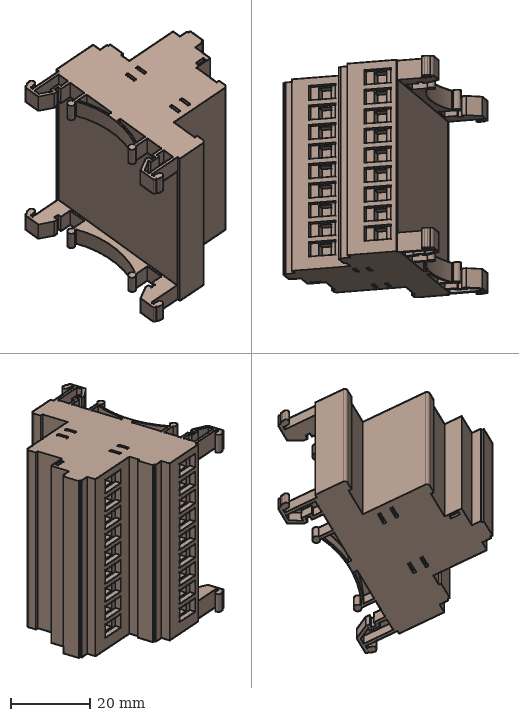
import cadquery as cq
import math

LENGTH = 49.9
DEPTH = 44.0
TOP_Y = DEPTH / 2
FOOT_Y = -TOP_Y
HALF_WIDTH = 22.4
TIER_STEP_X = 10.55
TIER_STEP_Y = 17.8
UPPER_HALF_WIDTH = HALF_WIDTH - TIER_STEP_X

FLANGE_Y = -11.95
PANEL_Y = -12.15
PANEL_HALF_WIDTH = 21.55
LEFT_LEDGE_Y = 1.0
RIB_LEFT_X = -19.9
RIB_STEP_X = 0.45
RIB_CREST_LEFT_X = RIB_LEFT_X + RIB_STEP_X
RIB_CREST_RIGHT_X = -14.85
RIB_SHOULDER_Y = 3.5
RIB_CREST_Y = TOP_Y - TIER_STEP_Y
UPPER_RIB_RIGHT_X = RIB_CREST_RIGHT_X + TIER_STEP_X + RIB_STEP_X
UPPER_BLOCK_RIGHT_X = 1.6
RIGHT_LEDGE_Y = -3.9
LIP_LEFT_X = 19.45
LIP_TOP_Y = -3.05
LIP_RADIUS = 0.85

WINDOW_COUNT = 9
WINDOW_PITCH = 5.1
WINDOW_MIDDLE_Z = 0.65
WINDOW_Y = -7.0
WINDOW_SIZE_Y = 7.0
WINDOW_SIZE_Z = 3.8
WINDOW_DEPTH = 1.65
ENTRY_Y = -7.25
ENTRY_SIZE_Y = 3.3
ENTRY_SIZE_Z = 2.95
ENTRY_DEPTH = 3.0

SLOT_DEPTH = 1.5
VENT_SIZE_X = 3.0
VENT_SIZE_Y = 0.75
VENT_XS = (-7.45, 8.55)
VENT_YS = (-0.25, 3.3)
KEY_SLOT_X = 0.75
KEY_SLOT_Y = 16.3
KEY_SLOT_SIZE_X = 0.85
KEY_SLOT_SIZE_Y = 2.55

PLATE_THICKNESS = 5.05
PLATE_SKIN = 0.85
WEB_Y = -12.75
WALL = 0.85

LEG_OUTER_X = -PANEL_HALF_WIDTH
LEG_INNER_X = -16.5
LEG_TOE_X = -18.5
LEG_TAPER_Y = -18.3
NOTCH_FLOOR_X = -17.55
NOTCH_TOP_Y = -15.95
NOTCH_BOTTOM_Y = -17.2
POCKET_STEP_X = -18.2
POCKET_TOE_X = -19.15
HOOK_X = -23.2
HOOK_Y = -19.75
HOOK_RADIUS = 0.85
HOOK_GAP_Y = -21.0
HOOK_ROOT = (-22.15, -20.55)
HOOK_UNDERCUT_X = -22.3
HOOK_BACK_TOP = (-23.9, -20.5)
HOOK_BACK_MIDDLE = (-23.8, -20.9)
HOOK_BACK_BOTTOM = (-23.5, -21.15)
HEEL_X = -23.45
HEEL_RADIUS = 0.4

POST_X = -11.05
POST_END_Y = -17.65
POST_END_RADIUS = 1.0
ARCH_APEX_Y = -14.05
ARCH_RADIUS = 25.3
ARCH_WALL = 0.55
ARCH_CENTER_Y = ARCH_APEX_Y - ARCH_RADIUS
ARCH_POCKET_INNER_X = -1.6


def arch_y(x, radius):
    """Height of an arch of the given radius at position x."""
    return ARCH_CENTER_Y + math.sqrt(radius**2 - x**2)


def box(x_range, y_range, z_range):
    """Axis-aligned block between the given limits."""
    corner = cq.Vector(x_range[0], y_range[0], z_range[0])
    return cq.Workplane(
        cq.Solid.makeBox(
            x_range[1] - x_range[0],
            y_range[1] - y_range[0],
            z_range[1] - z_range[0],
            corner,
        )
    )


def make_housing():
    """Two-tier housing body with ribs on the left and lips on the right."""
    upper_lip_x = LIP_LEFT_X - TIER_STEP_X
    upper_ledge_y = RIGHT_LEDGE_Y + TIER_STEP_Y
    upper_lip_y = LIP_TOP_Y + TIER_STEP_Y
    outline = [
        (-HALF_WIDTH, FLANGE_Y),
        (-HALF_WIDTH, LEFT_LEDGE_Y),
        (RIB_LEFT_X, LEFT_LEDGE_Y),
        (RIB_LEFT_X, RIB_SHOULDER_Y),
        (RIB_CREST_LEFT_X, RIB_SHOULDER_Y),
        (RIB_CREST_LEFT_X, RIB_CREST_Y),
        (RIB_CREST_RIGHT_X, RIB_CREST_Y),
        (RIB_CREST_RIGHT_X, RIB_SHOULDER_Y),
        (-UPPER_HALF_WIDTH, RIB_SHOULDER_Y),
        (-UPPER_HALF_WIDTH, LEFT_LEDGE_Y + TIER_STEP_Y),
        (RIB_LEFT_X + TIER_STEP_X, LEFT_LEDGE_Y + TIER_STEP_Y),
        (RIB_LEFT_X + TIER_STEP_X, RIB_SHOULDER_Y + TIER_STEP_Y),
        (RIB_CREST_LEFT_X + TIER_STEP_X, RIB_SHOULDER_Y + TIER_STEP_Y),
        (RIB_CREST_LEFT_X + TIER_STEP_X, TOP_Y),
        (RIB_CREST_RIGHT_X + TIER_STEP_X, TOP_Y),
        (RIB_CREST_RIGHT_X + TIER_STEP_X, RIB_SHOULDER_Y + TIER_STEP_Y),
        (UPPER_RIB_RIGHT_X, RIB_SHOULDER_Y + TIER_STEP_Y),
        (UPPER_RIB_RIGHT_X, LEFT_LEDGE_Y + TIER_STEP_Y),
        (UPPER_BLOCK_RIGHT_X, LEFT_LEDGE_Y + TIER_STEP_Y),
        (UPPER_BLOCK_RIGHT_X, upper_ledge_y),
        (upper_lip_x, upper_ledge_y),
        (upper_lip_x, upper_lip_y),
        (UPPER_HALF_WIDTH, upper_lip_y),
        (UPPER_HALF_WIDTH, RIGHT_LEDGE_Y),
        (LIP_LEFT_X, RIGHT_LEDGE_Y),
        (LIP_LEFT_X, LIP_TOP_Y),
        (HALF_WIDTH, LIP_TOP_Y),
        (HALF_WIDTH, FLANGE_Y),
    ]
    body = cq.Workplane("XY").polyline(outline).close().extrude(LENGTH / 2, both=True)
    lip_corners = [(HALF_WIDTH, LIP_TOP_Y), (UPPER_HALF_WIDTH, upper_lip_y)]
    for x, y in lip_corners:
        body = body.edges(cq.selectors.NearestToPointSelector((x, y, 0))).fillet(LIP_RADIUS)
    panel = box(
        (-PANEL_HALF_WIDTH, PANEL_HALF_WIDTH),
        (PANEL_Y, FLANGE_Y),
        (-LENGTH / 2, LENGTH / 2),
    )
    return body.union(panel)


def make_windows():
    """Cutter for both rows of wire entry windows and their deeper entries."""
    middle = (WINDOW_COUNT - 1) / 2
    row_z = [WINDOW_MIDDLE_Z + (i - middle) * WINDOW_PITCH for i in range(WINDOW_COUNT)]
    rows = [
        (-HALF_WIDTH, 0),
        (-UPPER_HALF_WIDTH, TIER_STEP_Y),
    ]
    cutter = cq.Workplane("XY")
    for wall_x, rise in rows:
        window_points = [(WINDOW_Y + rise, z) for z in row_z]
        entry_points = [(ENTRY_Y + rise, z) for z in row_z]
        wall = cq.Workplane("YZ", origin=(wall_x, 0, 0))
        windows = wall.pushPoints(window_points).rect(WINDOW_SIZE_Y, WINDOW_SIZE_Z).extrude(WINDOW_DEPTH)
        entries = (
            wall.pushPoints(entry_points)
            .rect(ENTRY_SIZE_Y, ENTRY_SIZE_Z)
            .extrude(WINDOW_DEPTH + ENTRY_DEPTH)
        )
        cutter = cutter.add(windows).add(entries)
    return cutter.combine()


def make_slots():
    """Cutter for the vent slots and the key slot in the +Z end face."""
    end_face = cq.Workplane("XY", origin=(0, 0, LENGTH / 2))
    vent_points = [(x, y) for x in VENT_XS for y in VENT_YS]
    vents = end_face.pushPoints(vent_points).rect(VENT_SIZE_X, VENT_SIZE_Y).extrude(-SLOT_DEPTH)
    key_slot = (
        end_face.center(KEY_SLOT_X, KEY_SLOT_Y)
        .rect(KEY_SLOT_SIZE_X, KEY_SLOT_SIZE_Y)
        .extrude(-SLOT_DEPTH)
    )
    return vents.union(key_slot)


def make_leg(plane):
    """Left latch leg with its notch and outer hook."""
    return (
        plane.moveTo(LEG_OUTER_X, FLANGE_Y)
        .lineTo(LEG_INNER_X, FLANGE_Y)
        .lineTo(LEG_INNER_X, NOTCH_TOP_Y)
        .lineTo(NOTCH_FLOOR_X, NOTCH_TOP_Y)
        .lineTo(NOTCH_FLOOR_X, NOTCH_BOTTOM_Y)
        .lineTo(LEG_INNER_X, NOTCH_BOTTOM_Y)
        .lineTo(LEG_INNER_X, LEG_TAPER_Y)
        .lineTo(LEG_TOE_X, FOOT_Y)
        .lineTo(HEEL_X + HEEL_RADIUS, FOOT_Y)
        .radiusArc((HEEL_X, FOOT_Y + HEEL_RADIUS), HEEL_RADIUS)
        .lineTo(HEEL_X, HOOK_BACK_BOTTOM[1])
        .lineTo(*HOOK_BACK_BOTTOM)
        .threePointArc(HOOK_BACK_MIDDLE, HOOK_BACK_TOP)
        .lineTo(HOOK_X - HOOK_RADIUS, HOOK_Y)
        .threePointArc((HOOK_X, HOOK_Y + HOOK_RADIUS), (HOOK_X + HOOK_RADIUS, HOOK_Y))
        .lineTo(*HOOK_ROOT)
        .lineTo(HOOK_UNDERCUT_X, HOOK_GAP_Y)
        .lineTo(LEG_OUTER_X, HOOK_GAP_Y)
        .close()
        .extrude(PLATE_THICKNESS)
    )


def make_leg_pocket(plane):
    """Cutter that leaves a thin wall round the left latch leg."""
    outer_x = LEG_OUTER_X + WALL
    inner_x = LEG_INNER_X - WALL
    outline = [
        (outer_x, WEB_Y),
        (inner_x, WEB_Y),
        (inner_x, NOTCH_TOP_Y + WALL),
        (POCKET_STEP_X, NOTCH_TOP_Y + WALL),
        (POCKET_STEP_X, NOTCH_BOTTOM_Y - WALL),
        (inner_x, NOTCH_BOTTOM_Y - WALL),
        (POCKET_TOE_X, FOOT_Y + WALL),
        (outer_x, FOOT_Y + WALL),
    ]
    return plane.polyline(outline).close().extrude(PLATE_THICKNESS - PLATE_SKIN)


def make_saddle(plane):
    """Arched saddle, symmetric about X = 0."""
    end_x = -POST_X
    end_y = arch_y(end_x, ARCH_RADIUS)
    return (
        plane.moveTo(-end_x, FLANGE_Y)
        .lineTo(-end_x, end_y)
        .threePointArc((0, ARCH_APEX_Y), (end_x, end_y))
        .lineTo(end_x, FLANGE_Y)
        .close()
        .extrude(PLATE_THICKNESS)
    )


def make_post(plane):
    """Left saddle post with its round end."""
    stem = (
        plane.center(POST_X, (FLANGE_Y + POST_END_Y) / 2)
        .rect(WALL, FLANGE_Y - POST_END_Y)
        .extrude(PLATE_THICKNESS)
    )
    end = plane.center(POST_X, POST_END_Y).circle(POST_END_RADIUS).extrude(PLATE_THICKNESS)
    return stem.union(end)


def make_saddle_pocket(plane):
    """Cutter for the left pocket between the web and the arch wall."""
    radius = ARCH_RADIUS + ARCH_WALL
    outer_x = POST_X + WALL / 2
    middle_x = (outer_x + ARCH_POCKET_INNER_X) / 2
    return (
        plane.moveTo(outer_x, WEB_Y)
        .lineTo(outer_x, arch_y(outer_x, radius))
        .threePointArc(
            (middle_x, arch_y(middle_x, radius)),
            (ARCH_POCKET_INNER_X, arch_y(ARCH_POCKET_INNER_X, radius)),
        )
        .lineTo(ARCH_POCKET_INNER_X, WEB_Y)
        .close()
        .extrude(PLATE_THICKNESS - PLATE_SKIN)
    )


def make_plate():
    """Rail foot plate at the +Z end, with its pockets open towards +Z."""
    base_z = LENGTH / 2 - PLATE_THICKNESS
    plane = cq.Workplane("XY", origin=(0, 0, base_z))
    pocket_plane = cq.Workplane("XY", origin=(0, 0, base_z + PLATE_SKIN))
    left_side = make_leg(plane).union(make_post(plane))
    left_pockets = make_leg_pocket(pocket_plane).union(make_saddle_pocket(pocket_plane))
    web = box(
        (-PANEL_HALF_WIDTH, PANEL_HALF_WIDTH),
        (WEB_Y, FLANGE_Y),
        (base_z, LENGTH / 2),
    )
    plate = web.union(make_saddle(plane)).union(left_side).union(left_side.mirror("YZ"))
    return plate.cut(left_pockets).cut(left_pockets.mirror("YZ"))


plate = make_plate()
slots = make_slots()
body = make_housing().union(plate).union(plate.mirror("XY"))
result = body.cut(make_windows()).cut(slots).cut(slots.mirror("XY"))